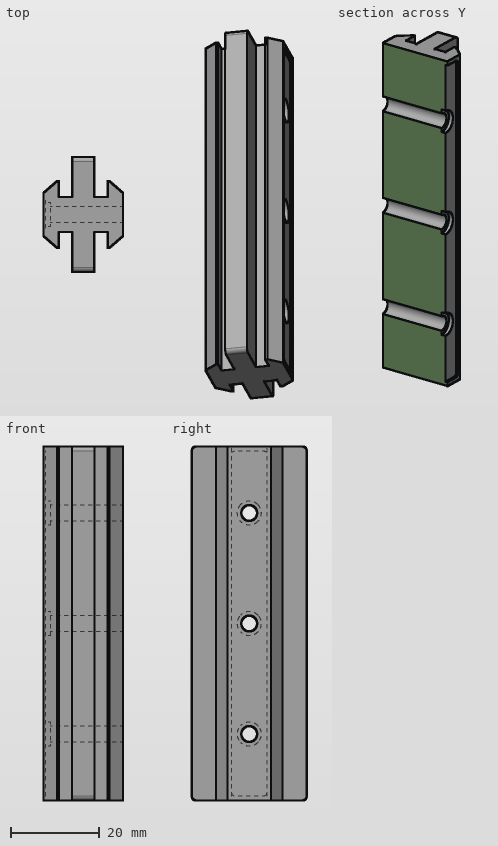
import cadquery as cq

length = 80.0
body_width = 18.0
fin_span = 26.0

fin_thickness = 5.0
core_depth = 8.0
slot_width = 3.0
face_depth = 9.8
jaw_span = 15.0
jaw_tip_width = 0.5
fin_corner_radius = 1.0

recess_width = 8.0
recess_end_margin = 1.0
recess_depth = 0.5
recess_corner_radius = 0.8

hole_count = 3
hole_pitch = 25.0
hole_diameter = 3.5
counterbore_diameter = 5.4
counterbore_depth = 1.1

side_face_x = body_width / 2
recess_floor_x = -side_face_x + recess_depth


def make_fin():
    """Central plate whose four end corners are rounded."""
    plate = cq.Workplane("XY").box(fin_thickness, fin_span, length)
    return plate.edges("|X").fillet(fin_corner_radius)


def make_body():
    """Core with a hooked jaw on each side, slotted on both sides of the fin."""
    slot_inner_x = fin_thickness / 2
    slot_outer_x = slot_inner_x + slot_width
    jaw_tip_x = slot_outer_x + jaw_tip_width
    core_y = core_depth / 2
    jaw_y = jaw_span / 2
    quarter = [
        (side_face_x, face_depth / 2),
        (jaw_tip_x, jaw_y),
        (slot_outer_x, jaw_y),
        (slot_outer_x, core_y),
    ]
    upper_half = quarter + [(-x, y) for x, y in reversed(quarter)]
    lower_half = [(-x, -y) for x, y in upper_half]
    outline = cq.Workplane("XY").polyline(upper_half + lower_half).close()
    return outline.extrude(length / 2, both=True)


def make_recess():
    """Rounded rectangular pocket in the -X face."""
    recess_length = length - 2 * recess_end_margin
    pocket = cq.Workplane("XY").box(recess_depth, recess_width, recess_length)
    pocket = pocket.edges("|X").fillet(recess_corner_radius)
    return pocket.translate((-side_face_x + recess_depth / 2, 0, 0))


def make_screw_hole(z):
    """Through hole along X with a counterbore sunk from the recess floor."""
    entry = cq.Workplane("YZ", origin=(-side_face_x, 0, z))
    bore = entry.circle(hole_diameter / 2).extrude(body_width)
    sink = cq.Workplane("YZ", origin=(recess_floor_x, 0, z))
    sink = sink.circle(counterbore_diameter / 2).extrude(counterbore_depth)
    return bore.union(sink)


result = make_body().union(make_fin()).cut(make_recess())
for index in range(hole_count):
    hole_z = (index - (hole_count - 1) / 2) * hole_pitch
    result = result.cut(make_screw_hole(hole_z))